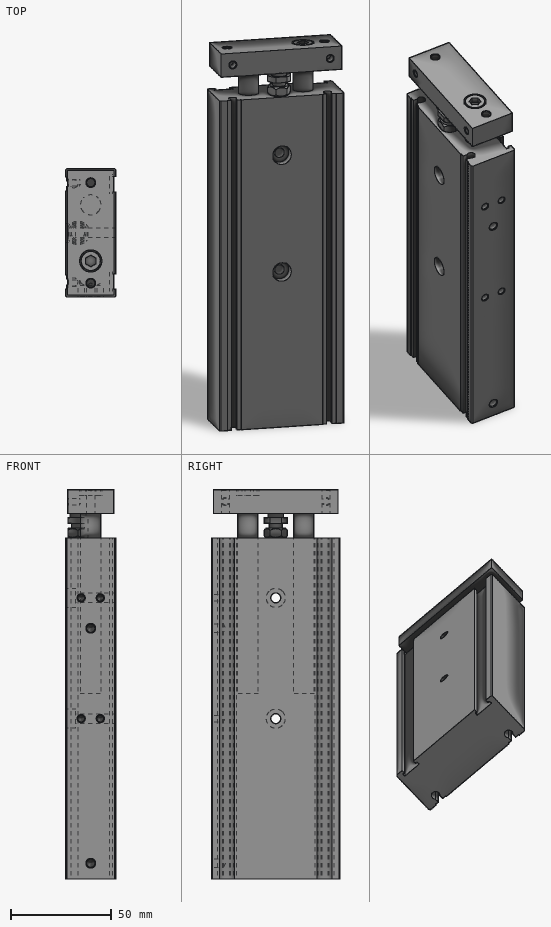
import cadquery as cq
import math


total_height = 194.0
housing_width = 25.0
housing_length = 64.0
housing_height = 170.0
housing_edge_chamfer = 0.5

sensor_groove_y = 24.5
sensor_recess_width = 7.0
sensor_recess_depth = 0.4
sensor_slot_width = 3.0
sensor_bore_diameter = 4.0
sensor_bore_depth = 4.0
tee_groove_y = 24.2
tee_opening = 7.5
tee_head_width = 9.5
tee_lip_thickness = 1.7
tee_depth = 3.1

mount_hole_diameter = 4.8
counterbore_diameter = 9.5
counterbore_depth = 5.0
mount_heights = (80.0, 140.0)

large_thread_drill = 4.0
large_thread_mouth = 4.8
small_thread_drill = 3.3
small_thread_mouth = 4.0
blind_hole_depth = 5.8
drill_point_angle = 118.0
mouth_chamfer_angle = 45
side_hole_spacing = 9.5
port_heights = (8.0, 125.0)

plate_width = 23.0
plate_length = 62.0
plate_thickness = 12.0
plate_hole_y = 25.0

rod_diameter = 10.0
rod_spacing = 28.0
rod_insertion = 77.6
screw_head_diameter = 9.5
screw_recess_diameter = 11.0
screw_recess_depth = 3.0
socket_across_flats = 5.0
socket_depth = 3.0

bolt_x = -6.4
bolt_shank_diameter = 6.5
bolt_collar_diameter = 8.0
bolt_collar_height = 2.0
hex_across_flats = 10.0
lock_nut_height = 3.0
lock_nut_diameter = 11.6
bolt_head_height = 4.8
bolt_head_chamfer_angle = 45.0
bolt_head_face_diameter = 9.5

plate_bottom = total_height - plate_thickness
rod_bottom = housing_height - rod_insertion


def hexagon_corners(across_flats):
    """Width across the corners of a regular hexagon."""
    return across_flats / math.cos(math.pi / 6)


def cylinder_z(diameter, x, y, bottom, top):
    """Upright cylinder between two heights."""
    return cq.Workplane("XY", origin=(x, y, bottom)).circle(diameter / 2).extrude(top - bottom)


def hexagon_z(across_flats, x, y, bottom, top):
    """Upright hexagonal prism with its corners toward +Y and -Y."""
    base = cq.Workplane("XY", origin=(x, y, bottom)).transformed(rotate=(0, 0, 90))
    return base.polygon(6, hexagon_corners(across_flats)).extrude(top - bottom)


def mouth_depth(drill_diameter, mouth_diameter):
    """Depth of the chamfer at the mouth of a threaded hole."""
    return (mouth_diameter - drill_diameter) / 2 / math.tan(math.radians(mouth_chamfer_angle))


def threaded_hole(drill_diameter, mouth_diameter):
    """Blind drilled hole along +Z from the origin, with a chamfered mouth and a drill point."""
    drill_radius = drill_diameter / 2
    mouth_radius = mouth_diameter / 2
    point_length = drill_radius / math.tan(math.radians(drill_point_angle / 2))
    profile = [
        (0, 0),
        (mouth_radius, 0),
        (drill_radius, mouth_depth(drill_diameter, mouth_diameter)),
        (drill_radius, blind_hole_depth),
        (0, blind_hole_depth + point_length),
    ]
    return cq.Workplane("XZ").polyline(profile).close().revolve(360, (0, 0), (0, 1))


def hole_toward_plus_x(hole, place):
    """Turn an upright hole to point along +X and move its mouth to the given place."""
    return hole.rotate((0, 0, 0), (0, 1, 0), 90).translate(place)


def hole_toward_plus_y(hole, place):
    """Turn an upright hole to point along +Y and move its mouth to the given place."""
    return hole.rotate((0, 0, 0), (1, 0, 0), -90).translate(place)


def upright_slot(y, width, x_start, x_end):
    """Rectangular channel over the full housing height."""
    channel = cq.Workplane("XY", origin=((x_start + x_end) / 2, y, 0))
    return channel.rect(x_end - x_start, width).extrude(housing_height)


def sensor_groove(y):
    """Groove in the -X face: shallow recess, narrow slot and round bore."""
    face_x = -housing_width / 2
    bore_x = face_x + sensor_bore_depth
    recess = upright_slot(y, sensor_recess_width, face_x, face_x + sensor_recess_depth)
    slot = upright_slot(y, sensor_slot_width, face_x, bore_x)
    bore = cylinder_z(sensor_bore_diameter, bore_x, y, 0, housing_height)
    return recess.union(slot).union(bore)


def tee_groove(y):
    """T-shaped groove in the +X face."""
    face_x = housing_width / 2
    floor_x = face_x - tee_depth
    opening = upright_slot(y, tee_opening, floor_x, face_x)
    head = upright_slot(y, tee_head_width, floor_x, face_x - tee_lip_thickness)
    return opening.union(head)


def mounting_hole(height):
    """Hole through the housing along X, counterbored from the -X face."""
    face = cq.Workplane("YZ", origin=(-housing_width / 2, 0, height))
    through = face.circle(mount_hole_diameter / 2).extrude(housing_width)
    counterbore = face.circle(counterbore_diameter / 2).extrude(counterbore_depth)
    return through.union(counterbore)


def make_housing():
    """Chamfered block with grooves, threaded holes, mounting holes and guide bores for the rods."""
    body = cq.Workplane("XY").box(housing_width, housing_length, housing_height, centered=(True, True, False))
    body = body.edges("|Z").chamfer(housing_edge_chamfer)

    for end in (-1, 1):
        body = body.cut(sensor_groove(end * sensor_groove_y))
        body = body.cut(tee_groove(end * tee_groove_y))

    large_hole = threaded_hole(large_thread_drill, large_thread_mouth)
    small_hole = threaded_hole(small_thread_drill, small_thread_mouth)
    front_y = -housing_length / 2
    for height in port_heights:
        body = body.cut(hole_toward_plus_y(large_hole, (0, front_y, height)))
    for height in mount_heights:
        body = body.cut(mounting_hole(height))
        for x in (-side_hole_spacing / 2, side_hole_spacing / 2):
            body = body.cut(hole_toward_plus_y(small_hole, (x, front_y, height)))

    for y in (-rod_spacing / 2, rod_spacing / 2):
        body = body.cut(cylinder_z(rod_diameter, 0, y, rod_bottom, housing_height))
    return body


def make_end_plate():
    """Block with threaded holes near both ends and a recess for the screw head."""
    plate = cq.Workplane("XY", origin=(0, 0, plate_bottom)).box(
        plate_width, plate_length, plate_thickness, centered=(True, True, False)
    )
    small_hole = threaded_hole(small_thread_drill, small_thread_mouth)
    mid_height = plate_bottom + plate_thickness / 2
    for y in (-plate_hole_y, plate_hole_y):
        plate = plate.cut(cylinder_z(large_thread_drill, 0, y, plate_bottom, total_height))
        chamfer_depth = mouth_depth(large_thread_drill, large_thread_mouth)
        mouth = cq.Workplane("XY", origin=(0, y, total_height)).circle(large_thread_mouth / 2)
        plate = plate.cut(mouth.extrude(-chamfer_depth, taper=mouth_chamfer_angle))
        plate = plate.cut(hole_toward_plus_x(small_hole, (-plate_width / 2, y, mid_height)))

    recess_bottom = total_height - screw_recess_depth
    recess = cylinder_z(screw_recess_diameter, 0, -rod_spacing / 2, recess_bottom, total_height)
    return plate.cut(recess)


def make_stop_bolt():
    """Collar, round lock nut with two flats, shank and a chamfered hexagon head resting on the housing."""
    collar_bottom = plate_bottom - bolt_collar_height
    nut_bottom = collar_bottom - lock_nut_height
    head_top = housing_height + bolt_head_height
    collar = cylinder_z(bolt_collar_diameter, bolt_x, 0, collar_bottom, plate_bottom)
    nut = cylinder_z(lock_nut_diameter, bolt_x, 0, nut_bottom, collar_bottom)
    nut_base = cq.Workplane("XY", origin=(bolt_x, 0, nut_bottom))
    nut = nut.intersect(nut_base.rect(hex_across_flats, lock_nut_diameter).extrude(lock_nut_height))
    shank = cylinder_z(bolt_shank_diameter, bolt_x, 0, head_top, nut_bottom)

    face_radius = bolt_head_face_diameter / 2
    corner_radius = hexagon_corners(hex_across_flats) / 2
    corner_drop = (corner_radius - face_radius) * math.tan(math.radians(bolt_head_chamfer_angle))
    turned_profile = [
        (0, 0),
        (face_radius, 0),
        (corner_radius, corner_drop),
        (corner_radius, bolt_head_height - corner_drop),
        (face_radius, bolt_head_height),
        (0, bolt_head_height),
    ]
    turned = cq.Workplane("XZ").polyline(turned_profile).close().revolve(360, (0, 0), (0, 1))
    head = hexagon_z(hex_across_flats, bolt_x, 0, housing_height, head_top)
    head = head.intersect(turned.translate((bolt_x, 0, housing_height)))
    return collar.union(nut).union(shank).union(head)


def make_flush_rod(y):
    """Guide rod running through the end plate to its top face."""
    return cylinder_z(rod_diameter, 0, y, rod_bottom, total_height)


def make_screwed_rod(y):
    """Guide rod held by a socket head screw that sits in the recess of the end plate."""
    recess_bottom = total_height - screw_recess_depth
    rod = cylinder_z(rod_diameter, 0, y, rod_bottom, recess_bottom)
    screw_head = cylinder_z(screw_head_diameter, 0, y, recess_bottom, total_height)
    socket = hexagon_z(socket_across_flats, 0, y, total_height - socket_depth, total_height)
    return rod.union(screw_head).cut(socket)


def make_carriage():
    """End plate, stop bolt and rods as one solid; the flush rod end keeps its own round face."""
    carriage = make_end_plate().union(make_stop_bolt())
    carriage = carriage.union(make_screwed_rod(-rod_spacing / 2))
    return carriage.union(make_flush_rod(rod_spacing / 2), clean=False)


housing = make_housing()
carriage = make_carriage()

result = cq.Compound.makeCompound([housing.val(), carriage.val()])